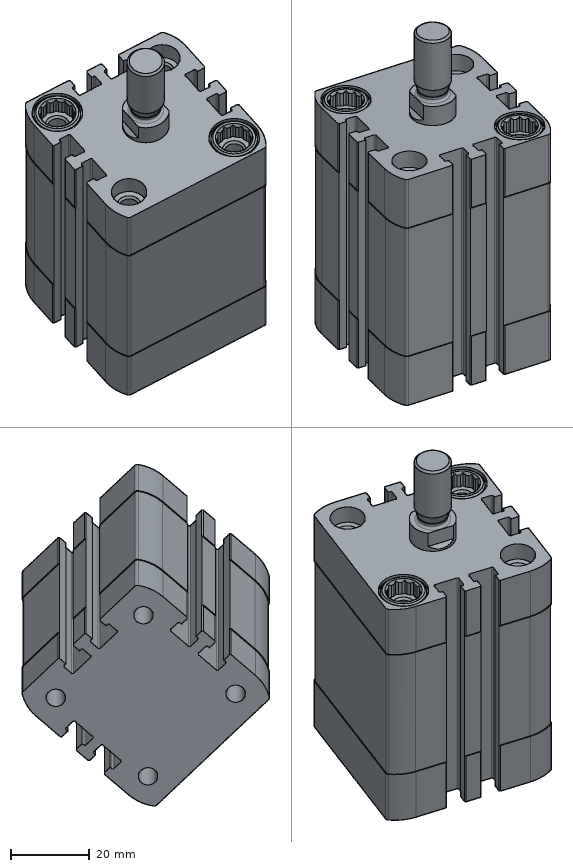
import cadquery as cq
import math

SIDE = 47.0
HALF = SIDE / 2
TOTAL_HEIGHT = 94.4
HOUSING_HEIGHT = 69.4
CAP_HEIGHT = 15.0
BARREL_INSET = 0.2

HOLE_OFFSET = 16.2
CORNER_RADIUS = 12.5
CORNER_EDGE_FILLET = 1.0
THROUGH_DIAMETER = 4.9
HOLE_CHAMFER = 0.6
COUNTERBORE_DIAMETER = 9.0
COUNTERBORE_DEPTH = 5.0

SLOT_OFFSET = 4.9
SLOT_MOUTH_WIDTH = 5.1
SLOT_INNER_WIDTH = 7.0
SLOT_LIP_THICKNESS = 2.5
SLOT_DEPTH = 5.8
SLOT_INNER_FILLET = 0.4
SLOT_LIP_CHAMFER = 0.3

RECESS_DIAMETER = 12.8
RECESS_DEPTH = 0.9
BUSH_DIAMETER = 11.9
BUSH_CHAMFER = 0.5
SOCKET_MOUTH_DIAMETER = 9.5
SOCKET_MOUTH_DEPTH = 0.85
SOCKET_TIP_DIAMETER = 8.5
SOCKET_ROOT_DIAMETER = 9.2
SOCKET_DEPTH = 4.7
SOCKET_GROOVES = 12
SOCKET_GROOVE_ANGLE = 120.0

COLLAR_DIAMETER = 12.0
COLLAR_HEIGHT = 5.9
FLAT_SPACING = 9.5
FLAT_BASE_HEIGHT = 1.5
FLAT_SLOPE_DROP = 0.9
THREAD_DIAMETER = 9.5
THREAD_LENGTH = 15.0
ROD_END_CHAMFER = 0.6
NECK_DIAMETER = 7.7
NECK_BAND_DIAMETER = 8.0
NECK_BAND_HEIGHT = 0.3
NECK_TOP_HEIGHT = 7.6
NECK_FOOT_FILLET = 0.7


def rounded_block(inset, height):
    """Prism with flat sides, shallow corner arcs and small fillets where an arc meets an X side."""
    half = HALF - inset
    radius = CORNER_RADIUS - inset
    arc_run = half - HOLE_OFFSET
    side_end = half - radius + math.sqrt(radius**2 - arc_run**2)
    block = (
        cq.Workplane("XY")
        .moveTo(-HOLE_OFFSET, half)
        .lineTo(HOLE_OFFSET, half)
        .radiusArc((half, side_end), radius)
        .lineTo(half, -side_end)
        .radiusArc((HOLE_OFFSET, -half), radius)
        .lineTo(-HOLE_OFFSET, -half)
        .radiusArc((-half, -side_end), radius)
        .lineTo(-half, side_end)
        .radiusArc((-HOLE_OFFSET, half), radius)
        .close()
        .extrude(height)
    )
    for side in (">X", "<X"):
        block = block.faces(side).edges("|Z").fillet(CORNER_EDGE_FILLET)
    return block


def slot_cutter():
    """T-slot through the full height, opening at the -Y face."""
    inner_depth = SLOT_DEPTH - SLOT_LIP_THICKNESS
    mouth = cq.Workplane("XY").box(SLOT_MOUTH_WIDTH, SLOT_DEPTH, HOUSING_HEIGHT, centered=(True, False, False))
    inner = (
        cq.Workplane("XY")
        .box(SLOT_INNER_WIDTH, inner_depth, HOUSING_HEIGHT, centered=(True, False, False))
        .edges("|Z")
        .fillet(SLOT_INNER_FILLET)
        .translate((0, SLOT_LIP_THICKNESS, 0))
    )
    return mouth.union(inner).translate((0, -HALF, 0))


def lip_chamfer_cutter():
    """Flared slot mouth over one end cap, opening at the -Y face."""
    narrow = SLOT_MOUTH_WIDTH / 2
    wide = narrow + SLOT_LIP_CHAMFER
    flare_end = SLOT_LIP_CHAMFER - HALF
    return (
        cq.Workplane("XY")
        .polyline([(-wide, -HALF), (wide, -HALF), (narrow, flare_end), (-narrow, flare_end)])
        .close()
        .extrude(CAP_HEIGHT)
    )


def cut_slots(housing):
    """Pairs of T-slots in the -Y, -X and +Y faces."""
    slot = slot_cutter()
    flare = lip_chamfer_cutter()
    slot = slot.union(flare).union(flare.translate((0, 0, HOUSING_HEIGHT - CAP_HEIGHT)))
    for face_angle in (0, -90, 180):
        for offset in (-SLOT_OFFSET, SLOT_OFFSET):
            cutter = slot.translate((offset, 0, 0)).rotate((0, 0, 0), (0, 0, 1), face_angle)
            housing = housing.cut(cutter)
    return housing


def through_hole_cutter(chamfer_depth):
    """Through hole with a chamfered rim at the given depth below the top face."""
    radius = THROUGH_DIAMETER / 2
    rim_height = HOUSING_HEIGHT - chamfer_depth
    return (
        cq.Workplane("XZ")
        .polyline(
            [
                (0, 0),
                (radius, 0),
                (radius, rim_height - HOLE_CHAMFER),
                (radius + HOLE_CHAMFER, rim_height),
                (0, rim_height),
            ]
        )
        .close()
        .revolve(360, (0, 0), (0, 1))
    )


def counterbored_hole_cutter():
    """Plain counterbored mounting hole."""
    counterbore = (
        cq.Workplane("XY", origin=(0, 0, HOUSING_HEIGHT - COUNTERBORE_DEPTH))
        .circle(COUNTERBORE_DIAMETER / 2)
        .extrude(COUNTERBORE_DEPTH)
    )
    return counterbore.union(through_hole_cutter(COUNTERBORE_DEPTH))


def bush_gap_cutter():
    """Ring-shaped gap round a bush, including the chamfer on the bush's rim."""
    bush_radius = BUSH_DIAMETER / 2
    top = HOUSING_HEIGHT
    return (
        cq.Workplane("XZ")
        .polyline(
            [
                (bush_radius - BUSH_CHAMFER, top),
                (bush_radius, top - BUSH_CHAMFER),
                (bush_radius, top - RECESS_DEPTH),
                (RECESS_DIAMETER / 2, top - RECESS_DEPTH),
                (RECESS_DIAMETER / 2, top),
            ]
        )
        .close()
        .revolve(360, (0, 0), (0, 1))
    )


def socket_cutter():
    """Round bore with V-grooves and a conical mouth."""
    tip_radius = SOCKET_TIP_DIAMETER / 2
    root_radius = SOCKET_ROOT_DIAMETER / 2
    mouth_radius = SOCKET_MOUTH_DIAMETER / 2
    groove_base = 2 * tip_radius - root_radius
    groove_half_width = (root_radius - groove_base) * math.tan(math.radians(SOCKET_GROOVE_ANGLE / 2))
    floor = HOUSING_HEIGHT - SOCKET_DEPTH
    socket = cq.Workplane("XY", origin=(0, 0, floor)).circle(tip_radius).extrude(SOCKET_DEPTH)
    groove = (
        cq.Workplane("XY", origin=(0, 0, floor))
        .polyline([(groove_base, -groove_half_width), (root_radius, 0), (groove_base, groove_half_width)])
        .close()
        .extrude(SOCKET_DEPTH)
    )
    pitch = 360 / SOCKET_GROOVES
    for index in range(SOCKET_GROOVES):
        socket = socket.union(groove.rotate((0, 0, 0), (0, 0, 1), index * pitch))
    mouth = (
        cq.Workplane("XZ")
        .polyline(
            [
                (0, HOUSING_HEIGHT - SOCKET_MOUTH_DEPTH),
                (tip_radius, HOUSING_HEIGHT - SOCKET_MOUTH_DEPTH),
                (mouth_radius, HOUSING_HEIGHT),
                (0, HOUSING_HEIGHT),
            ]
        )
        .close()
        .revolve(360, (0, 0), (0, 1))
    )
    return socket.union(mouth)


def socket_hole_cutter():
    """Mounting hole with a splined socket bush at its top."""
    return through_hole_cutter(SOCKET_DEPTH).union(socket_cutter()).union(bush_gap_cutter())


def make_housing():
    barrel_height = HOUSING_HEIGHT - 2 * CAP_HEIGHT
    end_cap = rounded_block(0, CAP_HEIGHT)
    barrel = rounded_block(BARREL_INSET, barrel_height).translate((0, 0, CAP_HEIGHT))
    housing = end_cap.union(barrel).union(end_cap.translate((0, 0, HOUSING_HEIGHT - CAP_HEIGHT)))
    housing = cut_slots(housing)
    plain_hole = counterbored_hole_cutter()
    socket_hole = socket_hole_cutter()
    for side in (-1, 1):
        housing = housing.cut(plain_hole.translate((side * HOLE_OFFSET, -side * HOLE_OFFSET, 0)))
        housing = housing.cut(socket_hole.translate((side * HOLE_OFFSET, side * HOLE_OFFSET, 0)))
    return housing


def wrench_flat_cutter():
    """Cutter for the flat on the +Y side of the collar, with an outward slope at its foot."""
    flat = FLAT_SPACING / 2
    outside = COLLAR_DIAMETER / 2
    foot = HOUSING_HEIGHT + FLAT_BASE_HEIGHT
    top = HOUSING_HEIGHT + COLLAR_HEIGHT
    return (
        cq.Workplane("YZ")
        .moveTo(flat, top)
        .lineTo(flat, foot)
        .lineTo(outside, foot - FLAT_SLOPE_DROP)
        .lineTo(outside, top)
        .close()
        .extrude(outside, both=True)
    )


def make_rod():
    collar_radius = COLLAR_DIAMETER / 2
    thread_radius = THREAD_DIAMETER / 2
    neck_radius = NECK_DIAMETER / 2
    band_radius = NECK_BAND_DIAMETER / 2
    neck_top = HOUSING_HEIGHT + NECK_TOP_HEIGHT
    collar_top = HOUSING_HEIGHT + COLLAR_HEIGHT
    rod = (
        cq.Workplane("XZ")
        .moveTo(0, HOUSING_HEIGHT)
        .lineTo(collar_radius, HOUSING_HEIGHT)
        .lineTo(collar_radius, collar_top)
        .lineTo(neck_radius + NECK_FOOT_FILLET, collar_top)
        .radiusArc((neck_radius, collar_top + NECK_FOOT_FILLET), NECK_FOOT_FILLET)
        .lineTo(neck_radius, neck_top - NECK_BAND_HEIGHT)
        .lineTo(band_radius, neck_top - NECK_BAND_HEIGHT)
        .lineTo(band_radius, neck_top)
        .lineTo(thread_radius, TOTAL_HEIGHT - THREAD_LENGTH)
        .lineTo(thread_radius, TOTAL_HEIGHT - ROD_END_CHAMFER)
        .lineTo(thread_radius - ROD_END_CHAMFER, TOTAL_HEIGHT)
        .lineTo(0, TOTAL_HEIGHT)
        .close()
        .revolve(360, (0, 0), (0, 1))
    )
    flat = wrench_flat_cutter()
    return rod.cut(flat).cut(flat.mirror("XZ"))


housing = make_housing()
rod = make_rod()
result = cq.Compound.makeCompound([housing.val(), rod.val()])